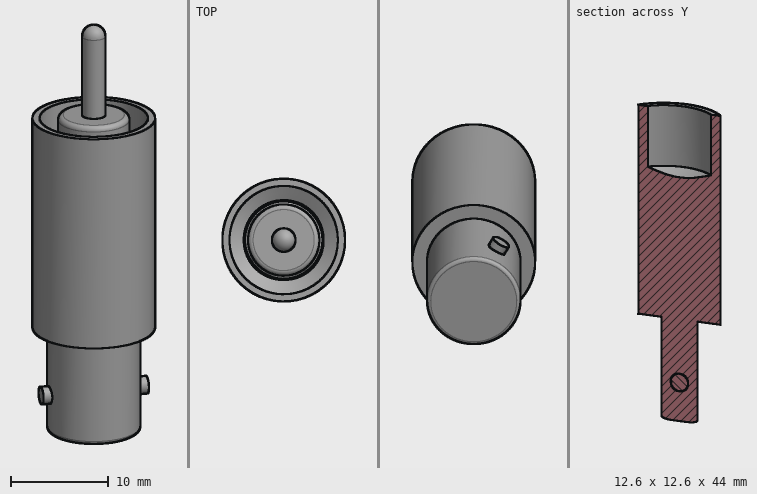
import cadquery as cq

total_height = 43.95
sleeve_radius = 6.3
sleeve_bottom = 11.07
sleeve_top = 33.85
barrel_radius = 4.8
barrel_fillet = 0.4

cup_radius = 5.55
cup_wall_depth = 6.6
cup_floor_inner_radius = 4.1
cup_floor_drop = 0.85
cup_root_drop = 0.18

ferrule_radius = 3.95
ferrule_top = 31.72
ferrule_bevel_drop = 0.15

insulator_radius = 3.65
insulator_top = 34.2
insulator_fillet = 0.53

pin_diameter = 2.4
pin_radius = pin_diameter / 2

lug_radius = 0.92
lug_height = 4.2
lug_reach = 5.62
lug_seat_depth = 0.9

cup_wall_bottom = sleeve_top - cup_wall_depth
cup_floor_bottom = cup_wall_bottom - cup_floor_drop
cup_root = cup_floor_bottom - cup_root_drop
insulator_bottom = cup_root
pin_tip_center = total_height - pin_radius
lug_inner_end = barrel_radius - lug_seat_depth


def revolve_profile(points):
    """Turn a closed outline of (radius, height) points about the Z axis."""
    return cq.Workplane("XZ").polyline(points).close().revolve(360, (0, 0, 0), (0, 1, 0))


def make_lug(side):
    """Radial peg pointing along +Y (side = 1) or -Y (side = -1)."""
    inner_plane = cq.Plane(origin=(0, side * lug_inner_end, lug_height), xDir=(1, 0, 0), normal=(0, side, 0))
    return cq.Workplane(inner_plane).circle(lug_radius).extrude(lug_reach - lug_inner_end)


def make_pin():
    """Round pin from the bottom of the insulator up to a hemispherical tip."""
    return (
        cq.Workplane("XZ")
        .moveTo(0, insulator_bottom)
        .lineTo(pin_radius, insulator_bottom)
        .lineTo(pin_radius, pin_tip_center)
        .radiusArc((0, total_height), -pin_radius)
        .close()
        .revolve(360, (0, 0, 0), (0, 1, 0))
    )


def make_insulator():
    """Round plug with a filleted top edge and a bore for the pin."""
    plug = cq.Workplane("XY", origin=(0, 0, insulator_bottom)).circle(insulator_radius)
    plug = plug.extrude(insulator_top - insulator_bottom).faces(">Z").edges().fillet(insulator_fillet)
    return plug.faces(">Z").workplane().hole(pin_diameter)


def make_shell(lugs):
    """Barrel, sleeve and ferrule in one piece, with seats for the insulator and the lugs."""
    barrel = cq.Workplane("XY").circle(barrel_radius).extrude(sleeve_bottom)
    barrel = barrel.faces("<Z").edges().fillet(barrel_fillet)
    sleeve = revolve_profile([
        (0, sleeve_bottom),
        (sleeve_radius, sleeve_bottom),
        (sleeve_radius, sleeve_top),
        (cup_radius, sleeve_top),
        (cup_radius, cup_wall_bottom),
        (cup_floor_inner_radius, cup_floor_bottom),
        (ferrule_radius, cup_root),
        (ferrule_radius, ferrule_top - ferrule_bevel_drop),
        (insulator_radius, ferrule_top),
        (insulator_radius, insulator_bottom),
        (0, insulator_bottom),
    ])
    shell = barrel.union(sleeve)
    for lug in lugs:
        shell = shell.cut(lug)
    return shell


lugs = [make_lug(side) for side in (-1, 1)]
shell = make_shell(lugs)
insulator = make_insulator()
pin = make_pin()

result = cq.Compound.makeCompound(
    [shell.val(), insulator.val(), pin.val(), *[lug.val() for lug in lugs]]
)